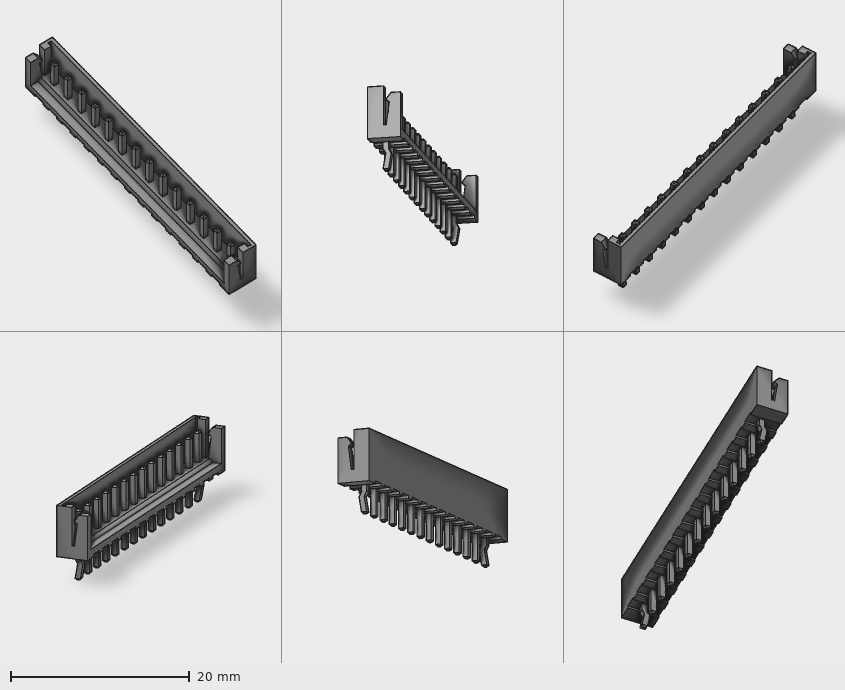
import cadquery as cq


PIN_COUNT = 14
PITCH = 2.5
PIN_SIZE = 0.64
PIN_TOP = 5.1
PIN_BOTTOM = -3.2
PIN_TIP_HEIGHT = 0.22
PIN_TIP_INSET = 0.2

KINK_START = -0.68
KINK_PEAK = -1.27
KINK_OFFSET = 0.3

END_MARGIN = 2.5
ROW_LENGTH = (PIN_COUNT - 1) * PITCH
LENGTH = ROW_LENGTH + 2 * END_MARGIN
HEIGHT = 6.0
BACK_Y = 1.6
FRONT_Y = -2.2
FLOOR_Z = 1.5
LEDGE_Z = 1.1
LEDGE_DEPTH = 1.05
BACK_WALL = 0.45
END_WALL = 0.95

CORNER_WALL = 0.35
CORNER_DEPTH = 0.45

SLOT_BACK_Y = -0.25
SLOT_BOTTOM_WIDTH = 0.33
POST_TOP = 5.2
POST_TOP_DEPTH = 1.08
HOOK_Y = -0.53
HOOK_TIP_Z = 4.45
HOOK_ROOT_Y = -0.93
HOOK_ROOT_Z = 4.1

NOTCH_WIDTH = 1.5
NOTCH_HEIGHT = 0.3

INNER_LENGTH = LENGTH - 2 * END_WALL
INNER_BACK_Y = BACK_Y - BACK_WALL
LEDGE_BACK_Y = FRONT_Y + LEDGE_DEPTH
pin_positions = [i * PITCH - ROW_LENGTH / 2 for i in range(PIN_COUNT)]


def box(x_size, x_center, y_min, y_max, z_min, z_max):
    """Box centred on x_center in X and spanning the given Y and Z limits."""
    return (
        cq.Workplane("XY")
        .box(x_size, y_max - y_min, z_max - z_min, centered=(True, False, False))
        .translate((x_center, y_min, z_min))
    )


def extrude_along_x(outline, length):
    """Extrude a closed (Y, Z) outline along X, centred on X = 0."""
    return cq.Workplane("YZ").polyline(outline).close().extrude(length / 2, both=True)


def make_cavity():
    """Open-fronted interior: flat floor, 45 degree slope, lower front ledge."""
    slope_run = FLOOR_Z - LEDGE_Z
    outline = [
        (INNER_BACK_Y, HEIGHT),
        (INNER_BACK_Y, FLOOR_Z),
        (LEDGE_BACK_Y + slope_run, FLOOR_Z),
        (LEDGE_BACK_Y, LEDGE_Z),
        (FRONT_Y, LEDGE_Z),
        (FRONT_Y, HEIGHT),
    ]
    return extrude_along_x(outline, INNER_LENGTH)


def make_corner_undercuts():
    """Widening of the cavity along the back wall, into both end walls."""
    length = LENGTH - 2 * CORNER_WALL
    return box(length, 0, INNER_BACK_Y - CORNER_DEPTH, INNER_BACK_Y, FLOOR_Z, HEIGHT)


def make_latch_slots():
    """Slot that splits both end walls and leaves a hooked post at the front."""
    outline = [
        (SLOT_BACK_Y, HEIGHT),
        (SLOT_BACK_Y, FLOOR_Z),
        (SLOT_BACK_Y - SLOT_BOTTOM_WIDTH, FLOOR_Z),
        (HOOK_ROOT_Y, HOOK_ROOT_Z),
        (HOOK_Y, HOOK_TIP_Z),
        (FRONT_Y + POST_TOP_DEPTH, POST_TOP),
        (FRONT_Y, POST_TOP),
        (FRONT_Y, HEIGHT),
    ]
    return extrude_along_x(outline, LENGTH)


def make_housing():
    housing = box(LENGTH, 0, FRONT_Y, BACK_Y, 0, HEIGHT)
    housing = housing.cut(make_cavity()).cut(make_corner_undercuts()).cut(make_latch_slots())
    for x in pin_positions:
        housing = housing.cut(box(NOTCH_WIDTH, x, FRONT_Y, BACK_Y, 0, NOTCH_HEIGHT))
    return housing


def pin_tip(x, z_base, z_end):
    """Truncated pyramid from the full pin section to the blunt tip."""
    tip_size = PIN_SIZE - 2 * PIN_TIP_INSET
    return (
        cq.Workplane("XY", origin=(x, 0, z_base))
        .rect(PIN_SIZE, PIN_SIZE)
        .workplane(offset=z_end - z_base)
        .rect(tip_size, tip_size)
        .loft(ruled=True)
    )


def make_pin(x, kinked):
    """Square pin with tapered tips; a kinked pin bulges forward below the housing."""
    half = PIN_SIZE / 2
    shank_top = PIN_TOP - PIN_TIP_HEIGHT
    shank_bottom = PIN_BOTTOM + PIN_TIP_HEIGHT
    kink = [(0, KINK_START), (-KINK_OFFSET, KINK_PEAK)] if kinked else []
    centerline = [(0, shank_top)] + kink + [(0, shank_bottom)]
    back_edge = [(y + half, z) for y, z in centerline]
    front_edge = [(y - half, z) for y, z in reversed(centerline)]
    shank = extrude_along_x(back_edge + front_edge, PIN_SIZE).translate((x, 0, 0))
    upper_tip = pin_tip(x, shank_top, PIN_TOP)
    lower_tip = pin_tip(x, shank_bottom, PIN_BOTTOM)
    return shank.union(upper_tip).union(lower_tip)


result = make_housing()
for index, pin_x in enumerate(pin_positions):
    is_end_pin = index in (0, PIN_COUNT - 1)
    result = result.union(make_pin(pin_x, is_end_pin))